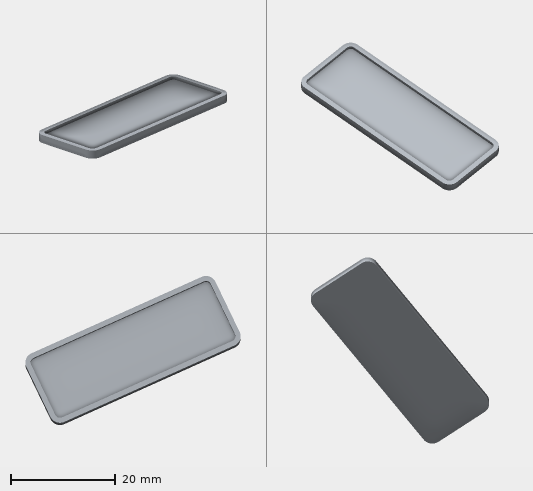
import cadquery as cq

width = 15.0
length = 40.0
height = 1.7

rim = 1.0
corner_radius = 2.0
inner_radius = corner_radius - rim
recess_depth = 0.7


def rounded_block(size_x, size_y, size_z, radius):
    """Block standing on Z = 0 with rounded vertical edges."""
    block = cq.Workplane("XY").box(size_x, size_y, size_z, centered=(True, True, False))
    return block.edges("|Z").fillet(radius)


body = rounded_block(width, length, height, corner_radius)

floor_height = height - recess_depth
recess = rounded_block(width - 2 * rim, length - 2 * rim, recess_depth, inner_radius)

result = body.cut(recess.translate((0, 0, floor_height)))